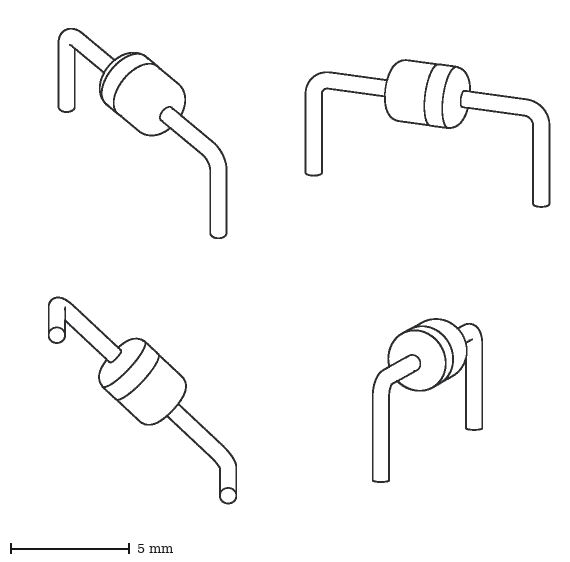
import cadquery as cq

wire_diameter = 0.7
lead_pitch = 10.16
bend_radius = 0.7
leg_bottom = -3.0

body_diameter = 2.6
body_length = 3.2
body_edge_radius = 0.52

band_diameter = 2.62
band_start = 0.48
band_width = 0.8

wire_radius = wire_diameter / 2
axis_height = body_diameter / 2
body_start = (lead_pitch - body_length) / 2


def cylinder_along_x(start, length, diameter):
    """Cylinder on the body's axis, running from X = start toward +X."""
    return (
        cq.Workplane("YZ", origin=(start, 0, axis_height))
        .circle(diameter / 2)
        .extrude(length)
    )


def make_wire():
    """Round wire swept up one leg, across and down the other, with a rounded bend at each end."""
    bend_start = axis_height - bend_radius
    path = (
        cq.Workplane("XZ")
        .moveTo(0, leg_bottom)
        .lineTo(0, bend_start)
        .tangentArcPoint((bend_radius, axis_height), relative=False)
        .lineTo(lead_pitch - bend_radius, axis_height)
        .tangentArcPoint((lead_pitch, bend_start), relative=False)
        .lineTo(lead_pitch, leg_bottom)
    )
    return (
        cq.Workplane("XY", origin=(0, 0, leg_bottom))
        .circle(wire_radius)
        .sweep(path)
    )


def make_body():
    """Cylindrical body with both end edges rounded."""
    return cylinder_along_x(body_start, body_length, body_diameter).edges().fillet(body_edge_radius)


def make_band():
    """Cathode band, standing slightly proud of the body."""
    return cylinder_along_x(body_start + band_start, band_width, band_diameter)


result = make_body().union(make_band()).union(make_wire())